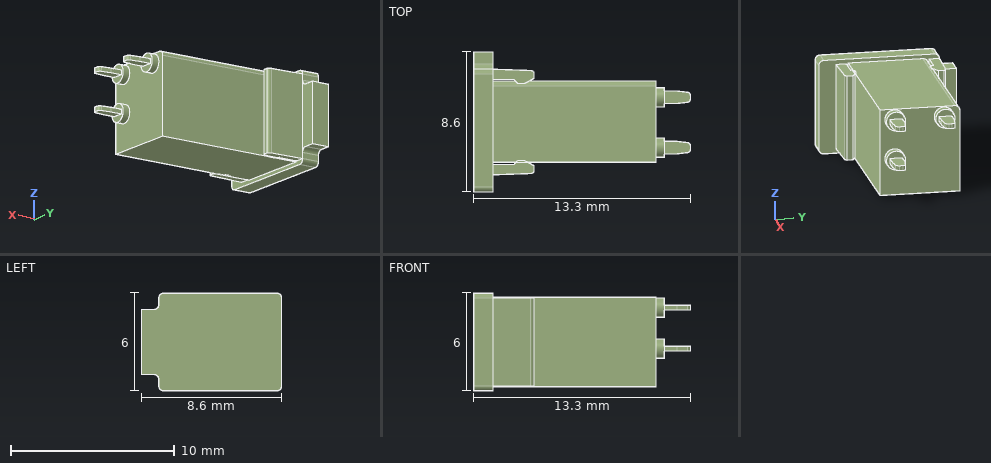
import cadquery as cq

plate_thickness = 1.2
plate_height = 6.0
bezel_width = 8.6
tab_projection = 1.06
tab_height = 3.99
plate_corner_radius = 0.3

clip_height = 5.4
clip_inner_y = 2.6
clip_root_thickness = 0.65
clip_tip_thickness = 0.57
clip_end = 3.71
hook_start = 2.47
hook_crest_start = 2.71
hook_crest_end = 3.11
hook_depth = 0.24
nose_start = 3.5
nose_drop = 0.13
nose_land = 0.08

housing_end = 11.2
housing_width = 5.0
housing_height = 5.49
housing_center_y = 0.03
housing_edge_radius = 0.33

collar_diameter = 1.2
collar_end = 11.69
blade_end = 13.3
blade_taper_start = 12.46
blade_width = 0.78
blade_tip_width = 0.59
blade_thickness = 0.3
blade_tip_radius = 0.21
terminal_spread = 3.09
terminal_center_y = -0.03
tab_side_terminal_y = terminal_center_y + terminal_spread / 2
plain_side_terminal_y = terminal_center_y - terminal_spread / 2
upper_terminal_z = 2.1
lower_terminal_z = -0.4
terminal_places = [
    (plain_side_terminal_y, upper_terminal_z),
    (tab_side_terminal_y, upper_terminal_z),
    (plain_side_terminal_y, lower_terminal_z),
]


def make_plate():
    """Plate: a rounded rectangle with a square tab blended into its +Y side."""
    panel_width = bezel_width - tab_projection
    panel = (
        cq.Workplane("XY")
        .box(plate_thickness, panel_width, plate_height, centered=(False, False, True))
        .translate((0, -bezel_width / 2, 0))
    )
    tab = cq.Workplane("XY").box(plate_thickness, bezel_width, tab_height, centered=(False, True, True))
    return panel.union(tab).edges("|X").edges("not >Y").fillet(plate_corner_radius)


def make_upper_clip():
    """Clip on the +Y side, its hook reaching past the housing's +Y face."""
    crest_y = clip_inner_y - hook_depth
    return (
        cq.Workplane("XY", origin=(0, 0, -clip_height / 2))
        .moveTo(plate_thickness, clip_inner_y + clip_root_thickness)
        .lineTo(nose_start, clip_inner_y + clip_tip_thickness)
        .tangentArcPoint((clip_end, clip_inner_y + clip_tip_thickness - nose_drop), relative=False)
        .lineTo(clip_end, clip_inner_y + nose_land)
        .lineTo(hook_crest_end, crest_y)
        .lineTo(hook_crest_start, crest_y)
        .lineTo(hook_start, clip_inner_y)
        .lineTo(plate_thickness, clip_inner_y)
        .close()
        .extrude(clip_height)
    )


def make_bezel():
    """Plate with a clip on each side, mirrored about the middle."""
    clip = make_upper_clip()
    return make_plate().union(clip).union(clip.mirror("XZ"))


def make_terminal():
    """Collar and blade on the X axis."""
    collar = (
        cq.Workplane("YZ", origin=(housing_end, 0, 0))
        .circle(collar_diameter / 2)
        .extrude(collar_end - housing_end)
    )
    outline = [
        (collar_end, -blade_width / 2),
        (blade_taper_start, -blade_width / 2),
        (blade_end, -blade_tip_width / 2),
        (blade_end, blade_tip_width / 2),
        (blade_taper_start, blade_width / 2),
        (collar_end, blade_width / 2),
    ]
    blade = (
        cq.Workplane("XY", origin=(0, 0, -blade_thickness / 2))
        .polyline(outline)
        .close()
        .extrude(blade_thickness)
        .edges("|Z and >X")
        .fillet(blade_tip_radius)
    )
    return collar.union(blade)


def make_housing(bezel):
    """Block with a rounded +Y upper edge, terminals, and recesses for the clip hooks."""
    block_length = housing_end - plate_thickness
    housing = (
        cq.Workplane("XY")
        .box(block_length, housing_width, housing_height, centered=(False, True, True))
        .translate((plate_thickness, housing_center_y, 0))
        .edges(">Y and >Z")
        .fillet(housing_edge_radius)
    )
    for y, z in terminal_places:
        housing = housing.union(make_terminal().translate((0, y, z)))
    return housing.cut(bezel)


bezel = make_bezel()
housing = make_housing(bezel)

result = cq.Compound.makeCompound([bezel.val(), housing.val()])